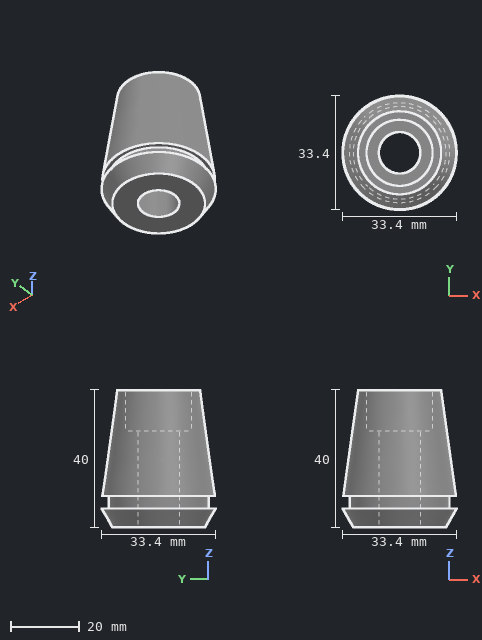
import cadquery as cq
import math

height = 40.0

flange_height = 5.55
flange_diameter = 33.35
base_diameter = 27.05

groove_width = 3.55
groove_diameter = 29.2

taper_angle = 8.0
taper_large_diameter = 32.9

bore_diameter = 19.3
bore_depth = 11.9
through_hole_diameter = 12.05

taper_bottom = flange_height + groove_width
taper_height = height - taper_bottom
taper_inset = taper_height * math.tan(math.radians(taper_angle))
taper_top_radius = taper_large_diameter / 2 - taper_inset
bore_floor = height - bore_depth


def revolved_collet():
    """Revolve the half section, with its stepped bore, around Z."""
    half_section = (
        cq.Workplane("XZ")
        .moveTo(through_hole_diameter / 2, 0)
        .lineTo(base_diameter / 2, 0)
        .lineTo(flange_diameter / 2, flange_height)
        .lineTo(groove_diameter / 2, flange_height)
        .lineTo(groove_diameter / 2, taper_bottom)
        .lineTo(taper_large_diameter / 2, taper_bottom)
        .lineTo(taper_top_radius, height)
        .lineTo(bore_diameter / 2, height)
        .lineTo(bore_diameter / 2, bore_floor)
        .lineTo(through_hole_diameter / 2, bore_floor)
        .close()
    )
    return half_section.revolve(360, (0, 0, 0), (0, 1, 0))


result = revolved_collet()